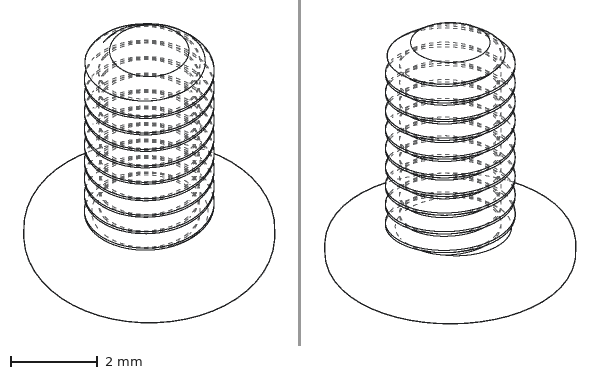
import cadquery as cq
import math

total_height = 6
head_diameter = 5.8
head_height = total_height / 6
head_edge_radius = 0.395

pitch = total_height / 12
major_radius = total_height / 4
flat_width = pitch / 8
flank_angle = math.radians(30)
flank_height = (pitch - 2 * flat_width) / 2
root_radius = major_radius - flank_height / math.tan(flank_angle)
crest_height = 1.33

tip_radius = 0.92
tip_cone_height = 0.415

envelope_radius = major_radius + 0.06

ridge_embed = 0.025
ridge_start = crest_height - 2 * pitch
ridge_turns = math.ceil((total_height - ridge_start) / pitch) + 1


def make_head():
    """Flat disc with both rims rounded."""
    disc = cq.Workplane("XY").circle(head_diameter / 2).extrude(head_height)
    return disc.edges().fillet(head_edge_radius)


def make_ridge():
    """Helical ridge, symmetrical about its crest."""
    embed_rise = ridge_embed * math.tan(flank_angle)
    half_base = flank_height + flat_width / 2 + embed_rise
    half_crest = flat_width / 2
    inner_radius = root_radius - ridge_embed
    profile = (
        cq.Workplane("XZ")
        .moveTo(inner_radius, ridge_start - half_base)
        .lineTo(major_radius, ridge_start - half_crest)
        .lineTo(major_radius, ridge_start + half_crest)
        .lineTo(inner_radius, ridge_start + half_base)
        .close()
    )
    helix = cq.Wire.makeHelix(
        pitch, ridge_turns * pitch, root_radius, center=cq.Vector(0, 0, ridge_start)
    )
    return profile.sweep(cq.Workplane(obj=helix), isFrenet=True)


def make_shank_envelope():
    """Solid of revolution that bounds the thread and gives it a conical tip."""
    base = head_height / 2
    return (
        cq.Workplane("XZ")
        .moveTo(0, base)
        .lineTo(envelope_radius, base)
        .lineTo(envelope_radius, cone_height_at(envelope_radius))
        .lineTo(tip_radius, total_height)
        .lineTo(0, total_height)
        .close()
        .revolve(360, (0, 0, 0), (0, 1, 0))
    )


def cone_height_at(radius):
    """Height of the tip cone at a given radius."""
    slope = tip_cone_height / (major_radius - tip_radius)
    return total_height - (radius - tip_radius) * slope


core = cq.Workplane("XY").circle(root_radius).extrude(total_height)
envelope = make_shank_envelope()
thread = make_ridge().intersect(envelope)
shank = core.intersect(envelope).union(thread)
result = make_head().union(shank)